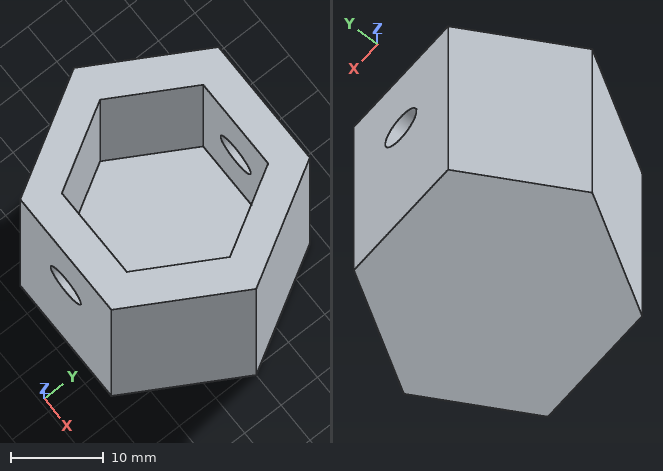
import cadquery as cq
import math

height = 35.0
outer_flats = 27.3
socket_flats = 19.42
pin_diameter = 5.2
pin_below_top = 12.5
socket_depth = 2 * pin_below_top


def hex_prism(across_flats, length, base_z):
    """Upright hexagonal prism with two corners on the X axis."""
    across_corners = across_flats / math.cos(math.pi / 6)
    return (
        cq.Workplane("XY")
        .workplane(offset=base_z)
        .polygon(6, across_corners)
        .extrude(length)
    )


body = hex_prism(outer_flats, height, 0)

socket = hex_prism(socket_flats, socket_depth, height - socket_depth)

pin_hole = (
    cq.Workplane("XZ")
    .center(0, height - pin_below_top)
    .circle(pin_diameter / 2)
    .extrude(outer_flats, both=True)
)

result = body.cut(socket).cut(pin_hole)